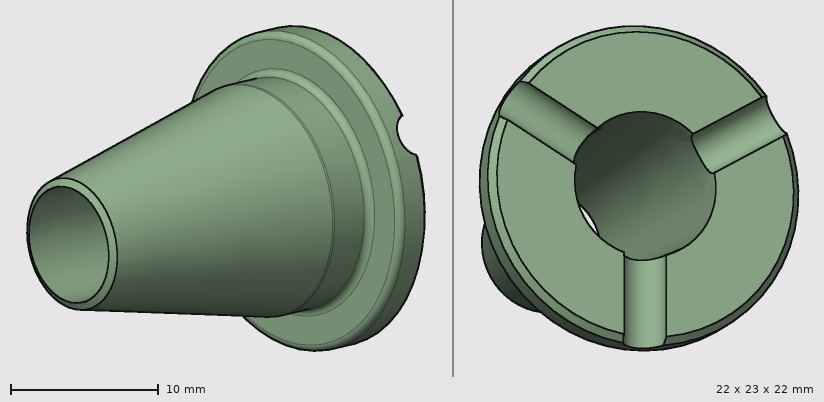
import cadquery as cq
import math

length = 23.0

flange_radius = 11.0
flange_thickness = 2.8
flange_chamfer = 0.5
flange_fillet = 0.5

neck_radius = 8.0
neck_root_fillet = 0.5
neck_end_y = -6.0
shoulder_fillet = 0.8
nose_end_radius = 4.53
tip_chamfer_length = 0.3

bore_tip_radius = 4.0
bore_back_radius = 5.0

notch_count = 3
first_notch_angle = 30.0
notch_radius = 1.5
notch_overrun = 1.0


def turned_body():
    """Flange, neck and nose turned from one half profile of (Y, radius) points."""
    flange_front_y = -flange_thickness
    tip_y = -length
    nose_end_y = tip_y + tip_chamfer_length

    taper = math.atan2(neck_radius - nose_end_radius, neck_end_y - nose_end_y)
    shoulder_mid = (
        neck_end_y - shoulder_fillet * math.sin(taper / 2),
        neck_radius - shoulder_fillet * (1 - math.cos(taper / 2)),
    )
    shoulder_end = (
        neck_end_y - shoulder_fillet * math.sin(taper),
        neck_radius - shoulder_fillet * (1 - math.cos(taper)),
    )

    mid_share = 1 - math.sqrt(0.5)
    rim_mid = (
        flange_front_y + flange_fillet * mid_share,
        flange_radius - flange_fillet * mid_share,
    )
    root_mid = (
        flange_front_y - neck_root_fillet * mid_share,
        neck_radius + neck_root_fillet * mid_share,
    )

    profile = (
        cq.Workplane("YZ")
        .moveTo(0, bore_back_radius)
        .lineTo(0, flange_radius - flange_chamfer)
        .lineTo(-flange_chamfer, flange_radius)
        .lineTo(flange_front_y + flange_fillet, flange_radius)
        .threePointArc(rim_mid, (flange_front_y, flange_radius - flange_fillet))
        .lineTo(flange_front_y, neck_radius + neck_root_fillet)
        .threePointArc(root_mid, (flange_front_y - neck_root_fillet, neck_radius))
        .lineTo(neck_end_y, neck_radius)
        .threePointArc(shoulder_mid, shoulder_end)
        .lineTo(nose_end_y, nose_end_radius)
        .lineTo(tip_y, bore_tip_radius)
        .close()
    )
    return profile.revolve(360, (0, 0, 0), (1, 0, 0))


def notch_cutter(angle):
    """Round bar lying along a radius in the plane of the back face, out past the flange rim."""
    bar_length = flange_radius + notch_overrun
    bar = cq.Workplane("YZ").circle(notch_radius).extrude(bar_length)
    return bar.rotate((0, 0, 0), (0, 1, 0), -angle)


result = turned_body()
for index in range(notch_count):
    notch_angle = first_notch_angle + index * 360 / notch_count
    result = result.cut(notch_cutter(notch_angle))